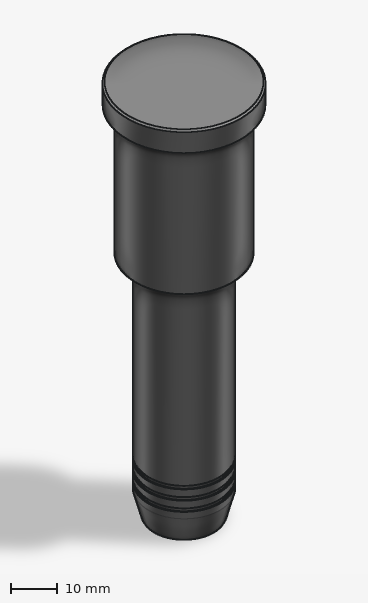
import cadquery as cq

total_length = 116.0
head_radius = 17.5
head_height = 6.0
head_chamfer = 0.5
body_radius = 15.0
body_length = 40.0
body_chamfer = 0.3
shank_radius = 11.0

head_neck_depth = 0.6
head_neck_height = 0.9
body_neck_depth = 0.7
body_neck_height = 1.0

groove_count = 3
groove_width = 1.0
groove_depth = 0.3
groove_slope_height = 0.3
groove_pitch = 3.0
first_groove_bottom = 8.9

lead_height = 7.2
tip_radius = 9.0
tip_chamfer_height = 0.5
tip_chamfer_width = 0.2

head_bottom = total_length - head_height
body_bottom = head_bottom - body_length


def make_pin():
    """Revolve the half outline of the pin about Z."""
    lead_bottom_radius = tip_radius + tip_chamfer_width
    outline = (
        cq.Workplane("XZ")
        .moveTo(0, 0)
        .lineTo(tip_radius, 0)
        .lineTo(lead_bottom_radius, tip_chamfer_height)
        .lineTo(shank_radius, lead_height)
        .lineTo(shank_radius, body_bottom - body_neck_height)
        .lineTo(shank_radius - body_neck_depth, body_bottom)
        .lineTo(body_radius - body_chamfer, body_bottom)
        .lineTo(body_radius, body_bottom + body_chamfer)
        .lineTo(body_radius, head_bottom - head_neck_height)
        .lineTo(body_radius - head_neck_depth, head_bottom)
        .lineTo(head_radius, head_bottom)
        .lineTo(head_radius, total_length - head_chamfer)
        .lineTo(head_radius - head_chamfer, total_length)
        .lineTo(0, total_length)
        .close()
    )
    return outline.revolve(360, (0, 0, 0), (0, 1, 0))


def make_groove(bottom):
    """Ring to cut from the shank for one groove, with a sloping upper wall."""
    top = bottom + groove_width
    floor_radius = shank_radius - groove_depth
    return (
        cq.Workplane("XZ")
        .moveTo(shank_radius, bottom)
        .lineTo(floor_radius, bottom)
        .lineTo(floor_radius, top - groove_slope_height)
        .lineTo(shank_radius, top)
        .close()
        .revolve(360, (0, 0, 0), (0, 1, 0))
    )


result = make_pin()
for index in range(groove_count):
    result = result.cut(make_groove(first_groove_bottom + index * groove_pitch))